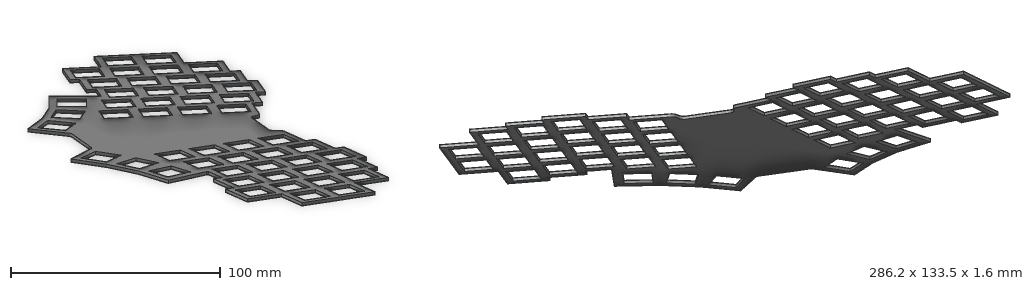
import cadquery as cq
import math

thickness = 1.6
hole_size = 14.0

hand_tilt = -10
columns = [(0, 4, 0.72), (1, 4, 1.1), (2, 4, 1.2), (1, 4, 1.1), (0, 4, 1.0), (-4, 2, 1.05)]
columns_width = 114.2
pitch = columns_width / len(columns)
stagger = pitch / 4
hand_inner_u = -27.2
hand_top_v = 42.7
inner_column_u = hand_inner_u - pitch / 2
top_key_v = hand_top_v - columns[0][2] - pitch / 2

pivot_x = -109.0
pivot_y = -145.5
thumb_radius = 122.2
thumb_angles = [20, 30, 40]
thumb_step = thumb_angles[1] - thumb_angles[0]
thumb_edge_distance = 111.5
thumb_outer_angle = 13.9
thumb_tip_angle = 45.3
thumb_outer_root = (-74.0, -14.3)

web_top = 40.5
web_bottom = -50.5
web_top_half_width = 13.5
shoulder_u = -23.2
web_bottom_half_width = 14.3
fillet_radius = 3.0


def from_hand_frame(u, v):
    tilt = math.radians(hand_tilt)
    x = u * math.cos(tilt) - v * math.sin(tilt)
    y = u * math.sin(tilt) + v * math.cos(tilt)
    return (x, y)


def from_pivot(radius, angle):
    x = pivot_x + radius * math.sin(math.radians(angle))
    y = pivot_y + radius * math.cos(math.radians(angle))
    return (x, y)


def thumb_corner(angle, key_angle):
    """Point at a pivot angle on the straight edge under the thumb key at key_angle."""
    return from_pivot(thumb_edge_distance / math.cos(math.radians(angle - key_angle)), angle)


def plate_block(centre, width, height, turn):
    block = cq.Workplane("XY").rect(width, height).extrude(thickness)
    return block.rotate((0, 0, 0), (0, 0, 1), turn).translate((centre[0], centre[1], 0))


def column_keys(index):
    """Key centres of one column in the hand frame, top key first."""
    steps, count, _ = columns[index]
    u = inner_column_u - index * pitch
    top_v = top_key_v + steps * stagger
    return [(u, top_v - row * pitch) for row in range(count)]


def column_block(index):
    keys = column_keys(index)
    rim = columns[index][2]
    u = keys[0][0]
    middle_v = (keys[0][1] + keys[-1][1]) / 2
    width = pitch + 2 * rim
    height = len(keys) * pitch + 2 * rim
    return plate_block(from_hand_frame(u, middle_v), width, height, hand_tilt)


def web_and_thumb():
    """Left half of the centre web together with the plate round the thumb keys."""
    shoulder = from_hand_frame(shoulder_u, hand_top_v)
    neck = (-web_top_half_width, web_top)
    thumb_root = (-web_bottom_half_width, web_bottom)

    outline = [thumb_outer_root, thumb_corner(thumb_outer_angle, thumb_angles[0])]
    for key_angle in thumb_angles[:-1]:
        outline.append(thumb_corner(key_angle + thumb_step / 2, key_angle))
    outline += [
        thumb_corner(thumb_tip_angle, thumb_angles[-1]),
        thumb_root,
        (0, web_bottom),
        (0, web_top),
        neck,
        shoulder,
        from_hand_frame(inner_column_u, hand_top_v),
        from_hand_frame(inner_column_u - 2 * pitch, 0),
    ]
    web = cq.Workplane("XY").polyline(outline).close().extrude(thickness)
    for x, y in (shoulder, neck, thumb_root):
        corner_edge = cq.selectors.NearestToPointSelector((x, y, thickness / 2))
        web = web.edges("|Z").edges(corner_edge).fillet(fillet_radius)
    return web


def switch_hole(centre, turn):
    return plate_block(centre, hole_size, hole_size, turn)


half = web_and_thumb()
for column in range(len(columns)):
    half = half.union(column_block(column))

for column in range(len(columns)):
    for key_u, key_v in column_keys(column):
        half = half.cut(switch_hole(from_hand_frame(key_u, key_v), hand_tilt))
for thumb_angle in thumb_angles:
    half = half.cut(switch_hole(from_pivot(thumb_radius, thumb_angle), -thumb_angle))

result = half.union(half.mirror("YZ")).clean()